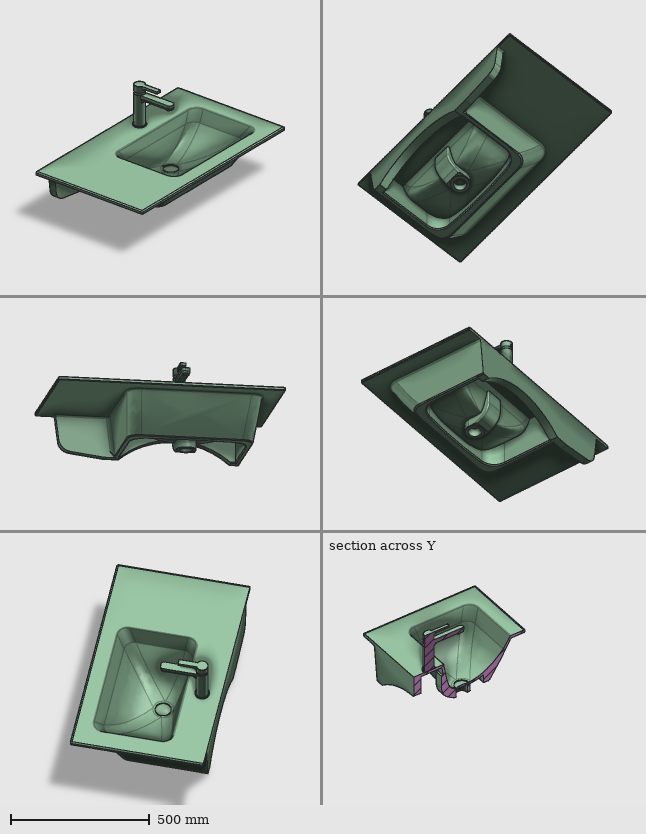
import cadquery as cq
import math


deck_depth = 489.73
deck_width = 829.78
deck_left = 315.0
deck_right = deck_left - deck_width
deck_thickness = 14.0
deck_corner_radius = 7.0
deck_bevel_width = 6.5
deck_bevel_drop = 3.0
deck_bottom_bevel = 3.0

body_bottom = -164.0
apron_thickness = 29.0
apron_left_top = 246.0
apron_left_bottom = 230.0
apron_right_top = -445.0
apron_right_low = (-433.0, -107.0)
apron_right_heel = (-392.0, -148.5)
apron_right_foot = -269.0
apron_foot_radius = 5.0
arch_center_y = -7.5
arch_half_width = 204.0
arch_top = -89.0
skirt_top_front = 428.0
skirt_bottom_front = 333.0
skirt_top_half_width = 247.0
skirt_bottom_half_width = 230.0
skirt_corner_radius = 45.0
skirt_front_bulge = 4.0
skirt_root_fillet = 13.0
hollow_rim_bevel = 4.0
hollow_rear = apron_thickness + hollow_rim_bevel
hollow_front = 306.0
hollow_side_front = 294.0
hollow_half_width = 212.0
hollow_corner_radius = 60.0
skirt_foot_bevel = 4.0
under_deck_fillet = 6.0

bowl_wall = 10.0
rim_rounding = 4.0
bowl_floor = -130.0
drain_x = 212.5
drain_mouth_radius = 37.0
drain_mouth_flat = 1.0
rim_level = (0.0, 133.0, 425.0, 241.0, 38.0)
crease_level = (-46.0, 141.0, 393.0, 213.0, 36.0)
middle_level = (-84.0, 149.0, 353.0, 170.0, 34.0)

outlet_bottom = -175.8
outlet_radius = 36.5
outlet_bevel = 2.5
seat_top = bowl_floor - 4.0
seat_bottom = seat_top - 6.0
seat_radius = 29.0
bore_radius = 24.0
channel_width = 2 * outlet_radius
channel_rear_x = 122.0
channel_top = -50.0
channel_bend_top = -105.0
channel_bend_end = (158.0, body_bottom)
channel_edge_fillet = 6.0
plug_dome_height = 6.0

tap_x = 69.0
tap_radius = 21.7
overall_height = 342.99
tap_top = overall_height + outlet_bottom
foot_radius = 23.5
foot_height = 3.0
flange_radius = 26.0
flange_top = 5.5
column_top = 131.0
collar_radius = tap_radius - 0.8
handle_bottom = 141.0
handle_top_bevel = 1.0
lever_end_x = 156.5
lever_width = 19.5
lever_thickness = 9.5
lever_root_bevel = 7.0
screw_height = 150.5
screw_radius = 3.0
screw_depth = 2.0
spout_end_x = 222.0
spout_width = 30.5
spout_corner_radius = 12.0
spout_bar_height = 12.0
spout_belly_height = 8.0
spout_belly_inset = 3.0
spout_root_bevel = 10.0
aerator_x = 207.0
aerator_radius = 11.5
aerator_drop = 4.0
aerator_tilt = 12.0
aerator_sink = 1.0


def box(x_range, y_range, z_range):
    """Block spanning the given (low, high) ranges."""
    sizes = [high - low for low, high in (x_range, y_range, z_range)]
    corner = (x_range[0], y_range[0], z_range[0])
    return cq.Workplane("XY").box(*sizes, centered=False).translate(corner)


def cylinder(x, radius, bottom, top):
    """Upright cylinder on the line Y = 0."""
    return cq.Workplane("XY", origin=(x, 0, bottom)).circle(radius).extrude(top - bottom)


def rounded_wire(level, growth=0.0, drop=0.0):
    """Rounded-rectangle wire of one bowl level, optionally enlarged and lowered."""
    depth, rear, front, half_width, radius = level
    return (
        cq.Workplane("XY", origin=((rear + front) / 2, 0, depth - drop))
        .rect(front - rear + 2 * growth, 2 * (half_width + growth))
        .extrude(1)
        .edges("|Z")
        .fillet(radius + growth)
        .faces("<Z")
        .wires()
        .val()
    )


def drain_wire(growth=0.0, drop=0.0):
    """Drain mouth: a nearly round rectangle, so that its edges match the bowl levels."""
    radius = drain_mouth_radius
    level = (bowl_floor, drain_x - radius, drain_x + radius, radius, radius - drain_mouth_flat)
    return rounded_wire(level, growth, drop)


def bowl(growth=0.0, drop=0.0):
    """Solid filling the bowl: steep upper wall, then a dished floor falling to the drain."""
    levels = (rim_level, crease_level, middle_level)
    rim, crease, middle = (rounded_wire(level, growth, drop) for level in levels)
    upper = cq.Solid.makeLoft([rim, crease], True)
    lower = cq.Solid.makeLoft([crease, middle, drain_wire(growth, drop)], False)
    return cq.Workplane(upper).union(cq.Workplane(lower))


def deck():
    """Flat top with bevelled free edges; the wall edge stays square."""
    outline = (-deck_bevel_width, deck_depth), (deck_right, deck_left)
    plate = box(*outline, (-deck_thickness, -deck_bevel_drop))
    plate = plate.edges("|Z and >X").fillet(deck_corner_radius)
    bevel_taper = math.degrees(math.atan(deck_bevel_width / deck_bevel_drop))
    top_layer = plate.faces(">Z").wires().toPending().workplane().extrude(
        deck_bevel_drop, taper=bevel_taper, combine=False)
    plate = plate.faces("<Z").edges("not <X").chamfer(deck_bottom_bevel).union(top_layer)
    behind_wall = box((-deck_bevel_width, 0), (deck_right, deck_left), (-deck_thickness, 0))
    plate = plate.cut(behind_wall)
    return plate


def skirt_section(front, half_width, height):
    """Plan wire of the skirt at one height: square at the rear, rounded at the front."""
    return (
        cq.Workplane("XY", origin=(front / 2, 0, height))
        .rect(front, 2 * half_width)
        .extrude(1)
        .edges("|Z and >X")
        .fillet(skirt_corner_radius)
        .faces("<Z")
        .wires()
        .val()
    )


def skirt():
    """Tapering block under the deck, with a slightly bulging front."""
    middle_front = (skirt_top_front + skirt_bottom_front) / 2 + skirt_front_bulge
    middle_half_width = (skirt_top_half_width + skirt_bottom_half_width) / 2
    middle_height = (body_bottom - deck_thickness) / 2
    sections = [
        skirt_section(skirt_top_front, skirt_top_half_width, -deck_thickness),
        skirt_section(middle_front, middle_half_width, middle_height),
        skirt_section(skirt_bottom_front, skirt_bottom_half_width, body_bottom),
    ]
    return cq.Workplane(cq.Solid.makeLoft(sections, False))


def hollow():
    """Upright space inside the skirt, around the underside of the bowl, flared at its lower rim."""
    plan = (
        cq.Workplane("XY", origin=(0, 0, body_bottom + hollow_rim_bevel))
        .moveTo(hollow_rear, -hollow_half_width)
        .lineTo(hollow_side_front, -hollow_half_width)
        .threePointArc((hollow_front, 0), (hollow_side_front, hollow_half_width))
        .lineTo(hollow_rear, hollow_half_width)
        .close()
        .extrude(-deck_thickness - body_bottom - hollow_rim_bevel)
        .edges("|Z")
        .edges(">X")
        .fillet(hollow_corner_radius)
    )
    flare = plan.faces("<Z").wires().toPending().workplane().extrude(
        hollow_rim_bevel, taper=-45, combine=False)
    return plan.union(flare).cut(bowl(bowl_wall, bowl_wall))


def apron():
    """Upright panel along the wall, with a long sloping foot on the right."""
    panel = (
        cq.Workplane("YZ")
        .moveTo(apron_left_top, -deck_thickness)
        .lineTo(apron_right_top, -deck_thickness)
        .lineTo(*apron_right_low)
        .tangentArcPoint(apron_right_heel, relative=False)
        .lineTo(apron_right_foot, body_bottom)
        .lineTo(apron_left_bottom, body_bottom)
        .close()
        .extrude(apron_thickness)
    )
    left_foot = cq.NearestToPointSelector((apron_thickness / 2, apron_left_bottom, body_bottom))
    return panel.edges(left_foot).fillet(apron_foot_radius)


def arch():
    """Service opening through the apron, a segment of a circle."""
    return (
        cq.Workplane("YZ")
        .moveTo(arch_center_y + arch_half_width, body_bottom)
        .threePointArc((arch_center_y, arch_top), (arch_center_y - arch_half_width, body_bottom))
        .close()
        .extrude(hollow_rear)
    )


def channel():
    """Overflow channel running down the back of the bowl and into the outlet."""
    return (
        cq.Workplane("XZ", origin=(0, channel_width / 2, 0))
        .moveTo(drain_x, channel_top)
        .lineTo(channel_rear_x, channel_top)
        .lineTo(channel_rear_x, channel_bend_top)
        .tangentArcPoint(channel_bend_end, relative=False)
        .lineTo(drain_x - outlet_radius, outlet_bottom + outlet_bevel)
        .lineTo(drain_x, outlet_bottom + outlet_bevel)
        .close()
        .extrude(channel_width)
    )


def outlet():
    """Round drain outlet hanging under the bowl."""
    tube = cylinder(drain_x, outlet_radius, outlet_bottom, bowl_floor)
    return tube.faces("<Z").edges().chamfer(outlet_bevel)


def build_basin():
    """Ceramic basin: deck, apron and hollow skirt around a dished bowl."""
    right_root = cq.selectors.BoxSelector(
        (apron_thickness - 1, -skirt_top_half_width - 1, body_bottom - 1),
        (apron_thickness + 1, -skirt_bottom_half_width + 1, -deck_thickness + 1),
    )
    under_deck = cq.selectors.BoxSelector(
        (1, apron_right_top - 1, -deck_thickness - 0.1),
        (skirt_top_front + 1, skirt_top_half_width + 1, -deck_thickness + 0.1),
    )
    shell = skirt().faces("<Z").edges(">X").chamfer(skirt_foot_bevel)
    shell = shell.union(apron())
    shell = shell.edges(right_root).fillet(skirt_root_fillet)
    body = deck().union(shell)
    body = body.edges(under_deck).fillet(under_deck_fillet)
    body = body.cut(hollow()).cut(arch())
    rounded_channel = channel().faces("<X").edges("|Z").fillet(channel_edge_fillet)
    basin = body.union(rounded_channel).union(outlet())
    seat = cylinder(drain_x, seat_radius, seat_bottom, bowl_floor)
    bore = cylinder(drain_x, bore_radius, outlet_bottom, bowl_floor)
    basin = basin.cut(bowl())
    _, rim_rear, rim_front, rim_half_width, _ = rim_level
    rim_edges = cq.selectors.BoxSelector(
        (rim_rear - 1, -rim_half_width - 1, -1),
        (rim_front + 1, rim_half_width + 1, 1),
    )
    basin = basin.edges(rim_edges).fillet(rim_rounding)
    return basin.cut(seat).cut(bore)


def build_plug():
    """Domed drain plug resting on the ledge of the seat."""
    disc = cylinder(drain_x, seat_radius, seat_bottom, seat_top)
    sphere_radius = (seat_radius**2 + plug_dome_height**2) / (2 * plug_dome_height)
    dome = (
        cq.Workplane("XZ", origin=(drain_x, 0, seat_top))
        .lineTo(seat_radius, 0)
        .radiusArc((0, plug_dome_height), -sphere_radius)
        .close()
        .revolve(360, (0, 0), (0, 1))
    )
    return disc.union(dome)


def tap_column():
    """Column on a flared foot, with a slimmer collar under the handle."""
    foot = cylinder(tap_x, foot_radius, 0, foot_height)
    flange = cylinder(tap_x, flange_radius, foot_height, flange_top)
    column = cylinder(tap_x, tap_radius, flange_top, column_top)
    collar = cylinder(tap_x, collar_radius, column_top, handle_bottom)
    return foot.union(flange).union(column).union(collar)


def root_wedge(width, top, size):
    """Triangular haunch under an arm, where it leaves the column."""
    face_x = tap_x + tap_radius
    return (
        cq.Workplane("XZ", origin=(0, width / 2, 0))
        .moveTo(tap_x, top)
        .lineTo(face_x + size, top)
        .lineTo(face_x, top - size)
        .lineTo(tap_x, top - size)
        .close()
        .extrude(width)
    )


def handle():
    """Cap with a flat lever towards the bowl and a screw hole at the back."""
    cap = cylinder(tap_x, tap_radius, handle_bottom, tap_top)
    cap = cap.faces(">Z").edges().chamfer(handle_top_bevel)
    half_width = lever_width / 2
    lever_bottom = tap_top - lever_thickness
    lever = box((tap_x, lever_end_x), (-half_width, half_width), (lever_bottom, tap_top))
    root = root_wedge(lever_width, lever_bottom, lever_root_bevel)
    screw_hole = (
        cq.Workplane("YZ", origin=(tap_x - tap_radius, 0, screw_height))
        .circle(screw_radius)
        .extrude(screw_depth)
    )
    return cap.union(lever).union(root).cut(screw_hole)


def spout():
    """Flat spout with a narrowing belly and a tilted aerator near its end."""
    half_width = spout_width / 2
    bar_bottom = column_top - spout_bar_height
    bar = box((tap_x, spout_end_x), (-half_width, half_width), (bar_bottom, column_top))
    bar = bar.edges("|Z and >X").fillet(spout_corner_radius)
    belly_taper = math.degrees(math.atan(spout_belly_inset / spout_belly_height))
    belly = bar.faces("<Z").wires().toPending().workplane().extrude(
        spout_belly_height, taper=belly_taper, combine=False)
    belly_bottom = bar_bottom - spout_belly_height
    root = root_wedge(spout_width - 2 * spout_belly_inset, belly_bottom, spout_root_bevel)
    aerator = (
        cylinder(0, aerator_radius, -aerator_drop, aerator_drop)
        .rotate((0, 0, 0), (0, 1, 0), -aerator_tilt)
        .translate((aerator_x, 0, belly_bottom + aerator_sink))
    )
    return bar.union(belly).union(root).union(aerator)


def build_tap():
    """Single-lever mixer tap standing on the deck behind the bowl."""
    return tap_column().union(spout()).union(handle())


basin = build_basin()
plug = build_plug()
tap = build_tap()
result = cq.Compound.makeCompound([body.solids().val() for body in (basin, plug, tap)])